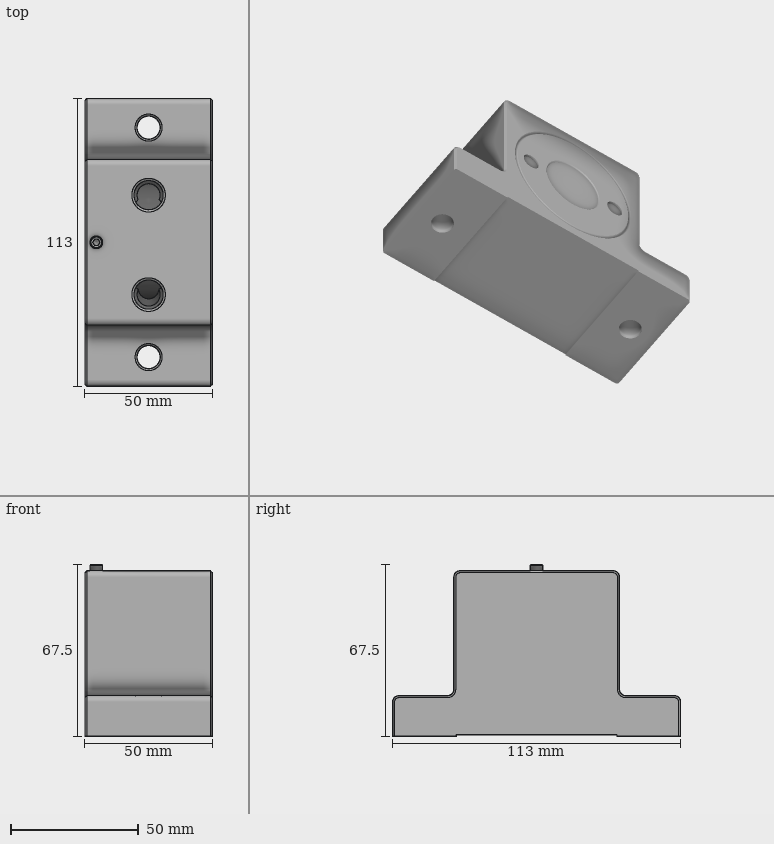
import cadquery as cq
import math

WIDTH_X = 50.0
BASE_LENGTH = 113.0
BLOCK_LENGTH = 65.0
BLOCK_HEIGHT = 65.0
FOOT_HEIGHT = 16.0
PROFILE_RADIUS = 2.5
EDGE_CHAMFER = 0.8
RELIEF_LENGTH = 63.0
RELIEF_DEPTH = 0.6
FACE_X = -WIDTH_X / 2

MOUNT_SPACING = 90.0
MOUNT_DIAMETER = 9.0
MOUNT_RIM_DIAMETER = 10.6

BORE_Z = 32.5
ROTOR_DIAMETER = 47.0
COVER_RECESS_DIAMETER = 55.6
COVER_GROOVE_DIAMETER = 54.4
COVER_FACE_DIAMETER = 53.0
CENTRE_RIM_DIAMETER = 25.4
CENTRE_DIAMETER = 24.5
SPANNER_HOLE_DIAMETER = 7.2
SPANNER_HOLE_SPACING = 40.0
SPANNER_HOLE_DEPTH = 1.0

OUTLET_Y = 18.5
INLET_Y = -20.5
PORT_DIAMETER = 11.45
PORT_RIM_DIAMETER = 13.2
PORT_BORE_DIAMETER = 9.0
OUTLET_SHOULDER_Z = 49.0
INLET_SHOULDER_Z = 47.0
PORT_SHOULDER_HEIGHT = 0.9
OUTLET_END_Z = 36.0
INLET_CONE_ANGLE = 46.0

SCREW_X = -20.5
SCREW_DIAMETER = 5.0
SCREW_TIP_DIAMETER = 4.13
SCREW_HEIGHT = 2.5
SOCKET_ACROSS_FLATS = 2.5
SOCKET_SIDES = 6
SOCKET_DEPTH = 1.5
SOCKET_POINT_ANGLE = 118.0


def revolve_about_z(profile, y):
    """Revolve (radius, z) points about a vertical axis at x = 0 and the given y."""
    outline = cq.Workplane("XZ").polyline(profile).close()
    return outline.revolve(360, (0, 0, 0), (0, 1, 0)).translate((0, y, 0))


def cone_height(diameter, included_angle):
    return diameter / 2 / math.tan(math.radians(included_angle / 2))


def make_housing():
    half_base = BASE_LENGTH / 2
    half_block = BLOCK_LENGTH / 2
    outline = [
        (-half_base, 0),
        (half_base, 0),
        (half_base, FOOT_HEIGHT),
        (half_block, FOOT_HEIGHT),
        (half_block, BLOCK_HEIGHT),
        (-half_block, BLOCK_HEIGHT),
        (-half_block, FOOT_HEIGHT),
        (-half_base, FOOT_HEIGHT),
    ]
    housing = cq.Workplane("YZ").polyline(outline).close().extrude(WIDTH_X / 2, both=True)
    above_base = cq.selectors.BoxSelector(
        (-WIDTH_X, -BASE_LENGTH, FOOT_HEIGHT / 2), (WIDTH_X, BASE_LENGTH, 2 * BLOCK_HEIGHT)
    )
    housing = housing.edges("|X").edges(above_base).fillet(PROFILE_RADIUS)
    housing = housing.faces("<X or >X").edges(above_base).chamfer(EDGE_CHAMFER)
    relief = cq.Workplane("XY").box(WIDTH_X, RELIEF_LENGTH, RELIEF_DEPTH, centered=(True, True, False))
    return housing.cut(relief)


def make_mount_hole(y):
    radius = MOUNT_DIAMETER / 2
    rim_radius = MOUNT_RIM_DIAMETER / 2
    profile = [
        (0, 0),
        (radius, 0),
        (radius, FOOT_HEIGHT - (rim_radius - radius)),
        (rim_radius, FOOT_HEIGHT),
        (0, FOOT_HEIGHT),
    ]
    return revolve_about_z(profile, y)


def port_upper_profile(shoulder_z):
    """Points (radius, z) from the top face down to the bore below the wide part."""
    radius = PORT_DIAMETER / 2
    rim_radius = PORT_RIM_DIAMETER / 2
    return [
        (0, BLOCK_HEIGHT),
        (rim_radius, BLOCK_HEIGHT),
        (radius, BLOCK_HEIGHT - (rim_radius - radius)),
        (radius, shoulder_z + PORT_SHOULDER_HEIGHT),
        (PORT_BORE_DIAMETER / 2, shoulder_z),
    ]


def make_ports():
    """Outlet with a straight bore and inlet with a conical one, both stopped by the rotor."""
    outlet_end = [(PORT_BORE_DIAMETER / 2, OUTLET_END_Z), (0, OUTLET_END_Z)]
    inlet_tip = (0, INLET_SHOULDER_Z - cone_height(PORT_BORE_DIAMETER, INLET_CONE_ANGLE))
    outlet = revolve_about_z(port_upper_profile(OUTLET_SHOULDER_Z) + outlet_end, OUTLET_Y)
    inlet = revolve_about_z(port_upper_profile(INLET_SHOULDER_Z) + [inlet_tip], INLET_Y)
    rotor = cq.Workplane("YZ").center(0, BORE_Z).circle(ROTOR_DIAMETER / 2).extrude(WIDTH_X / 2, both=True)
    return outlet.union(inlet).cut(rotor)


def make_cover_cuts():
    """V groove round the cover, shallow centre recess and two spanner holes."""

    def revolve_about_bore(profile):
        outline = cq.Workplane("XZ").polyline(profile).close()
        return outline.revolve(360, (0, 0, 0), (1, 0, 0)).translate((0, 0, BORE_Z))

    groove_depth = (COVER_RECESS_DIAMETER - COVER_GROOVE_DIAMETER) / 2
    groove = revolve_about_bore([
        (FACE_X, COVER_FACE_DIAMETER / 2),
        (FACE_X + groove_depth, COVER_GROOVE_DIAMETER / 2),
        (FACE_X, COVER_RECESS_DIAMETER / 2),
    ])
    centre_depth = (CENTRE_RIM_DIAMETER - CENTRE_DIAMETER) / 2
    centre = revolve_about_bore([
        (FACE_X, 0),
        (FACE_X, CENTRE_RIM_DIAMETER / 2),
        (FACE_X + centre_depth, CENTRE_DIAMETER / 2),
        (FACE_X + centre_depth, 0),
    ])
    half_spacing = SPANNER_HOLE_SPACING / 2
    spanner_holes = (
        cq.Workplane("YZ", origin=(FACE_X, 0, BORE_Z))
        .pushPoints([(-half_spacing, 0), (half_spacing, 0)])
        .circle(SPANNER_HOLE_DIAMETER / 2)
        .extrude(SPANNER_HOLE_DEPTH)
    )
    return groove.union(centre).union(spanner_holes)


def make_screw():
    """Chamfered stud with a hexagon socket that ends in a drill point."""
    stud = cq.Workplane("XY").circle(SCREW_DIAMETER / 2).extrude(SCREW_HEIGHT)
    stud = stud.faces(">Z").edges().chamfer((SCREW_DIAMETER - SCREW_TIP_DIAMETER) / 2)
    floor_z = SCREW_HEIGHT - SOCKET_DEPTH
    across_corners = SOCKET_ACROSS_FLATS / math.cos(math.pi / SOCKET_SIDES)
    socket = cq.Workplane("XY").workplane(offset=floor_z).polygon(SOCKET_SIDES, across_corners)
    socket = socket.extrude(SOCKET_DEPTH)
    point_z = floor_z - cone_height(SOCKET_ACROSS_FLATS, SOCKET_POINT_ANGLE)
    point = revolve_about_z([(0, floor_z), (SOCKET_ACROSS_FLATS / 2, floor_z), (0, point_z)], 0)
    return stud.cut(socket).cut(point).translate((SCREW_X, 0, BLOCK_HEIGHT))


result = make_housing()
for side in (-1, 1):
    result = result.cut(make_mount_hole(side * MOUNT_SPACING / 2))
result = result.cut(make_ports())
result = result.cut(make_cover_cuts())
result = result.union(make_screw())